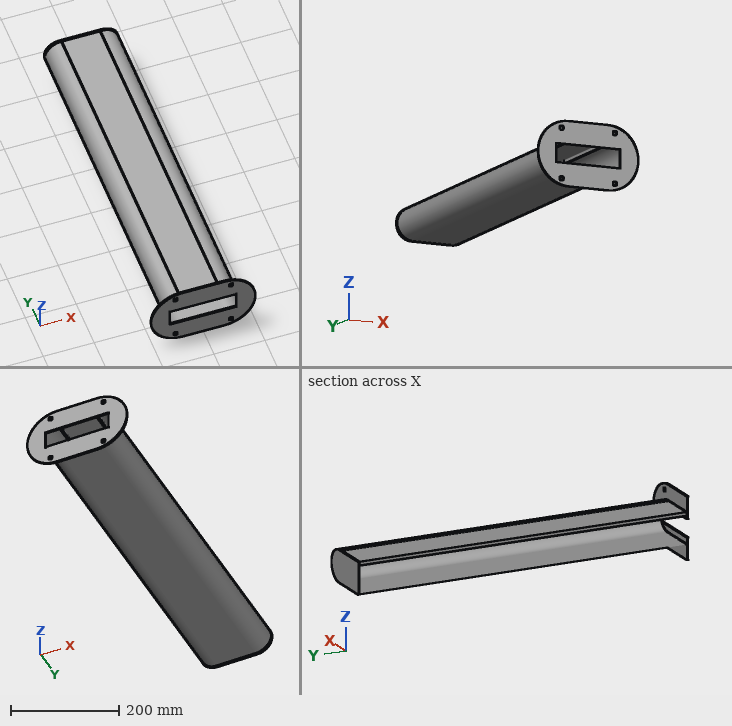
import cadquery as cq
import math

total_length = 681.0
end_plate_thickness = 3.0

flat_width = 81.0
side_radius = 32.0

sheet = 1.5
bend_radius = 2.5
lip_depth = 8.0

flange_rim = 30.0
flange_radius = side_radius + flange_rim
window_width = 131.0
window_height = 36.0
screw_hole_diameter = 8.0
screw_spacing_x = 109.0
screw_spacing_z = 96.0

half_flat = flat_width / 2
seam_x = half_flat - bend_radius
bend_start_z = side_radius - bend_radius
lip_end_z = side_radius - lip_depth
inner_bend_radius = bend_radius - sheet
inner_side_radius = side_radius - sheet
body_length = total_length - 2 * end_plate_thickness
diagonal = math.sqrt(0.5)


def section_plane(y):
    """Workplane across the arm at a given Y; a negative extrude runs toward +Y."""
    return cq.Workplane("XZ", origin=(0, y, 0))


def stadium_plate(radius, y):
    """End plate with a stadium outline that starts at a given Y."""
    outline = section_plane(y).slot2D(flat_width + 2 * radius, 2 * radius)
    return outline.extrude(-end_plate_thickness)


def on_bend(side, center_x, radius, direction):
    """Middle point of a quarter bend; direction +1 turns away from the arm's middle, -1 toward it."""
    x = center_x + direction * radius * diagonal
    return (side * x, bend_start_z + radius * diagonal)


def make_flange():
    """Mounting flange with a rectangular window and four screw holes."""
    flange = stadium_plate(flange_radius, 0)
    window = section_plane(0).rect(window_width, window_height)
    screws = (
        section_plane(0)
        .rect(screw_spacing_x, screw_spacing_z, forConstruction=True)
        .vertices()
        .circle(screw_hole_diameter / 2)
    )
    flange = flange.cut(window.extrude(-end_plate_thickness))
    return flange.cut(screws.extrude(-end_plate_thickness))


def make_shell():
    """Sheet shell, open along the top, whose rolled edges turn down into two lips."""
    lip_inner_x = seam_x + sheet
    outline = (
        section_plane(end_plate_thickness)
        .moveTo(seam_x, lip_end_z)
        .lineTo(seam_x, bend_start_z)
        .threePointArc(on_bend(1, half_flat, bend_radius, -1), (half_flat, side_radius))
        .threePointArc((half_flat + side_radius, 0), (half_flat, -side_radius))
        .lineTo(-half_flat, -side_radius)
        .threePointArc((-half_flat - side_radius, 0), (-half_flat, side_radius))
        .threePointArc(on_bend(-1, half_flat, bend_radius, -1), (-seam_x, bend_start_z))
        .lineTo(-seam_x, lip_end_z)
        .lineTo(-lip_inner_x, lip_end_z)
        .lineTo(-lip_inner_x, bend_start_z)
        .threePointArc(on_bend(-1, half_flat, inner_bend_radius, -1), (-half_flat, inner_side_radius))
        .threePointArc((-half_flat - inner_side_radius, 0), (-half_flat, -inner_side_radius))
        .lineTo(half_flat, -inner_side_radius)
        .threePointArc((half_flat + inner_side_radius, 0), (half_flat, inner_side_radius))
        .threePointArc(on_bend(1, half_flat, inner_bend_radius, -1), (lip_inner_x, bend_start_z))
        .lineTo(lip_inner_x, lip_end_z)
        .close()
    )
    return outline.extrude(-body_length)


def make_lid():
    """Channel-shaped lid that closes the shell's top, its legs against the shell's lips."""
    bend_center_x = seam_x - bend_radius
    leg_inner_x = seam_x - sheet
    outline = (
        section_plane(end_plate_thickness)
        .moveTo(seam_x, lip_end_z)
        .lineTo(seam_x, bend_start_z)
        .threePointArc(on_bend(1, bend_center_x, bend_radius, 1), (bend_center_x, side_radius))
        .lineTo(-bend_center_x, side_radius)
        .threePointArc(on_bend(-1, bend_center_x, bend_radius, 1), (-seam_x, bend_start_z))
        .lineTo(-seam_x, lip_end_z)
        .lineTo(-leg_inner_x, lip_end_z)
        .lineTo(-leg_inner_x, bend_start_z)
        .threePointArc(on_bend(-1, bend_center_x, inner_bend_radius, 1), (-bend_center_x, inner_side_radius))
        .lineTo(bend_center_x, inner_side_radius)
        .threePointArc(on_bend(1, bend_center_x, inner_bend_radius, 1), (leg_inner_x, bend_start_z))
        .lineTo(leg_inner_x, lip_end_z)
        .close()
    )
    return outline.extrude(-body_length)


flange = make_flange()
shell = make_shell()
lid = make_lid()
end_cap = stadium_plate(side_radius, total_length - end_plate_thickness)

result = cq.Compound.makeCompound([flange.val(), shell.val(), lid.val(), end_cap.val()])